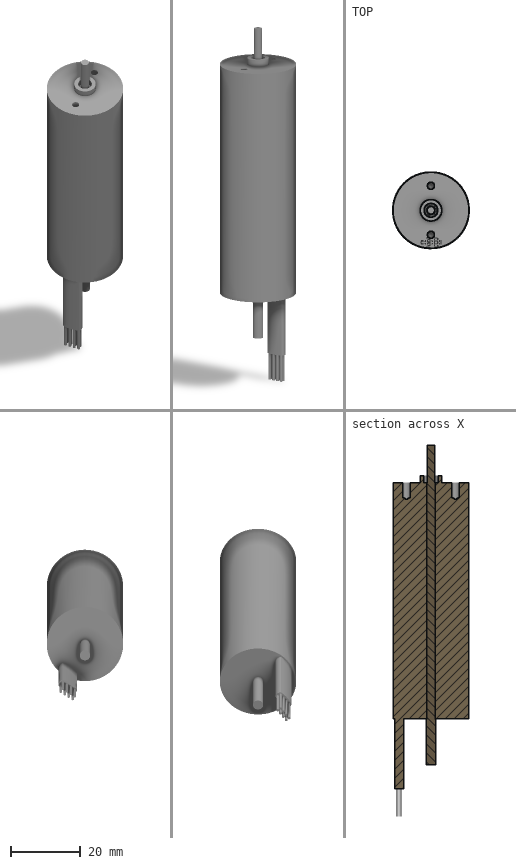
import cadquery as cq

overall_length = 106.7

housing_diameter = 22.0
housing_length = 68.0
boss_diameter = 6.2
boss_height = 1.9
boss_recess_diameter = 4.0
boss_recess_depth = boss_height

mount_hole_diameter = 2.0
mount_hole_offset = 7.0
mount_hole_depth = 4.3
drill_point_depth = 0.6

front_shaft_diameter = 2.2
front_shaft_length = 10.7
rear_shaft_diameter = 3.0
rear_shaft_length = 13.3

jacket_corner_width = 4.9
jacket_corner_thickness = 2.1
jacket_side_bulge = 0.3
jacket_end_bulge = 0.4
jacket_length = 20.2
cable_offset = -9.2
wire_columns = 4
wire_rows = 2
wire_diameter = 0.8
wire_column_gap = 0.55
wire_row_gap = 0.2
wire_column_pitch = wire_diameter + wire_column_gap
wire_row_pitch = wire_diameter + wire_row_gap
wire_end_z = housing_length + front_shaft_length - overall_length


def cylinder(diameter, bottom_z, top_z):
    """Upright cylinder on the Z axis, between two heights."""
    base = cq.Workplane("XY", origin=(0, 0, bottom_z))
    return base.circle(diameter / 2).extrude(top_z - bottom_z)


def make_mount_hole(y):
    """Cutter for one mounting hole in the front face."""
    radius = mount_hole_diameter / 2
    wall_bottom = housing_length - mount_hole_depth
    profile = [
        (0, housing_length),
        (radius, housing_length),
        (radius, wall_bottom),
        (0, wall_bottom - drill_point_depth),
    ]
    hole = cq.Workplane("XZ").polyline(profile).close().revolve(360, (0, 0), (0, 1))
    return hole.translate((0, y, 0))


def make_jacket():
    """Cable jacket, bounded by four shallow arcs that meet at the corners."""
    corner_x = jacket_corner_width / 2
    corner_y = jacket_corner_thickness / 2
    end_x = corner_x + jacket_end_bulge
    side_y = corner_y + jacket_side_bulge
    return (
        cq.Workplane("XY", origin=(0, cable_offset, 0))
        .moveTo(-corner_x, -corner_y)
        .threePointArc((0, -side_y), (corner_x, -corner_y))
        .threePointArc((end_x, 0), (corner_x, corner_y))
        .threePointArc((0, side_y), (-corner_x, corner_y))
        .threePointArc((-end_x, 0), (-corner_x, -corner_y))
        .close()
        .extrude(-jacket_length)
    )


def make_wires():
    """Grid of wire ends below the jacket."""
    return (
        cq.Workplane("XY", origin=(0, cable_offset, wire_end_z))
        .rarray(wire_column_pitch, wire_row_pitch, wire_columns, wire_rows)
        .circle(wire_diameter / 2)
        .extrude(-jacket_length - wire_end_z)
    )


def make_housing():
    """Housing with its front boss, mounting holes, shaft bore and fixed cable."""
    boss_top = housing_length + boss_height
    body = cylinder(housing_diameter, 0, housing_length)
    body = body.union(cylinder(boss_diameter, housing_length, boss_top))
    body = body.cut(cylinder(boss_recess_diameter, boss_top - boss_recess_depth, boss_top))
    body = body.cut(cylinder(front_shaft_diameter, 0, boss_top))
    for side in (-1, 1):
        body = body.cut(make_mount_hole(side * mount_hole_offset))
    return body.union(make_jacket()).union(make_wires())


def make_shaft():
    """Shaft with a thicker rear end whose shoulder meets the housing's rear face."""
    front = cylinder(front_shaft_diameter, 0, housing_length + front_shaft_length)
    rear = cylinder(rear_shaft_diameter, -rear_shaft_length, 0)
    return front.union(rear)


housing = make_housing()
shaft = make_shaft()
result = cq.Compound.makeCompound([housing.val(), shaft.val()])